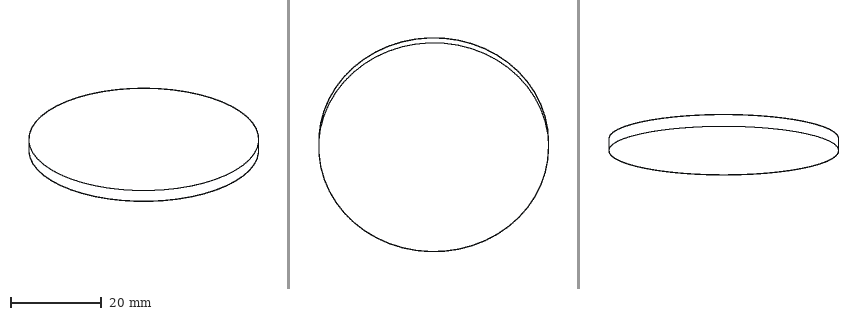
import cadquery as cq

diameter = 50.8
center_thickness = 6.6
edge_thickness = 2.7

radius = diameter / 2
half_center = center_thickness / 2
half_edge = edge_thickness / 2

cap_height = half_center - half_edge
sphere_radius = (radius**2 + cap_height**2) / (2 * cap_height)

half_section = (
    cq.Workplane("XZ")
    .moveTo(0, -half_center)
    .radiusArc((radius, -half_edge), -sphere_radius)
    .lineTo(radius, half_edge)
    .radiusArc((0, half_center), -sphere_radius)
    .close()
)

result = half_section.revolve(360, (0, 0, 0), (0, 1, 0))